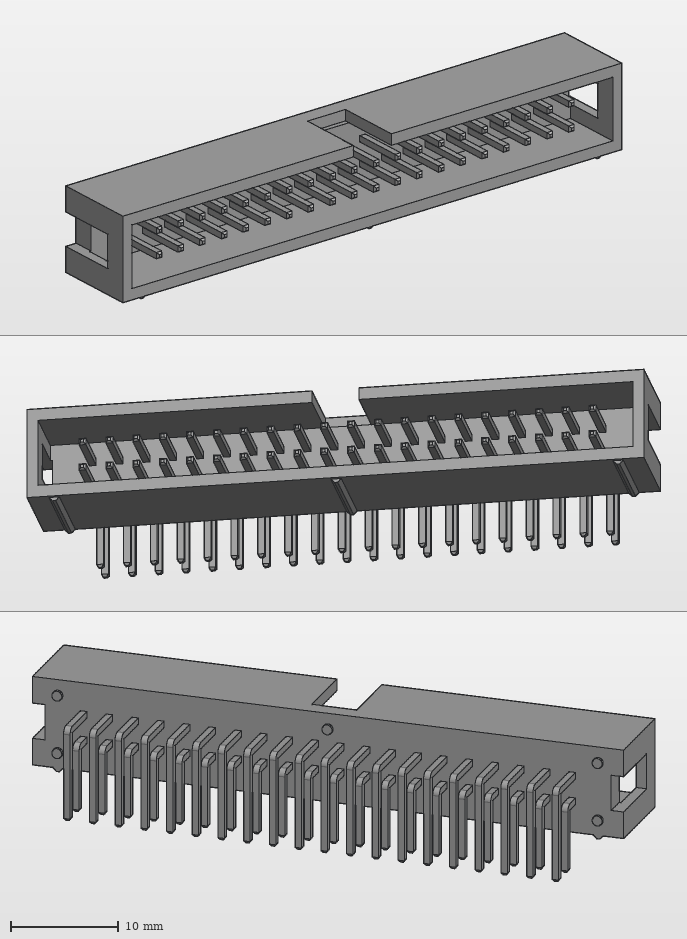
import cadquery as cq

housing_depth = 8.8
housing_length = 58.45
housing_height = 8.8
side_wall = 1.15
end_wall = 1.05
cavity_floor = 2.3
mid_height = housing_height / 2

notch_width = 4.45
notch_start = 1.75

end_slot_height = 3.5
end_slot_reach = 6.5
end_slot_depth = 1.2

pin_count = 20
pitch = 2.545
pin_width = 0.65
pin_mating_end = 7.95
pin_overhang = 4.75
leg_end_z = -3.3
tip_length = 0.25
tip_width = 0.3

standoff_offset = 26.7
nub_diameter = 1.0
nub_height = 0.3
nub_offset = 2.85
rib_base_width = 1.0
rib_crest_width = 0.3
rib_height = 0.35
rib_length = 8.5


def block(x_start, x_end, y_mid, width, z_start, z_end):
    """Box given by its X and Z limits and its centred Y width."""
    size = (x_end - x_start, width, z_end - z_start)
    return cq.Workplane("XY").box(*size, centered=(False, True, False)).translate((x_start, y_mid, z_start))


def make_housing():
    body = block(0, housing_depth, 0, housing_length, 0, housing_height)
    cavity_length = housing_length - 2 * end_wall
    body = body.cut(
        block(cavity_floor, housing_depth, 0, cavity_length, side_wall, housing_height - side_wall)
    )
    body = body.cut(
        block(notch_start, housing_depth, 0, notch_width, housing_height - side_wall, housing_height)
    )
    slot_bottom = mid_height - end_slot_height / 2
    slot_top = mid_height + end_slot_height / 2
    for side in (-1, 1):
        slot_y = side * (housing_length - end_slot_depth) / 2
        body = body.cut(block(0, end_slot_reach, slot_y, end_slot_depth, slot_bottom, slot_top))
    return body


def make_tip(base_plane):
    """Truncated pyramid that points a pin end along the plane normal."""
    return (
        base_plane.rect(pin_width, pin_width)
        .workplane(offset=tip_length)
        .rect(tip_width, tip_width)
        .loft()
    )


def make_pin(leg_x, row_z):
    """Right-angle pin at y = 0, with its bend rounded on the outside."""
    half = pin_width / 2
    shank_end = pin_mating_end - tip_length
    leg_bottom = leg_end_z + tip_length
    shank = block(leg_x - half, shank_end, 0, pin_width, row_z - half, row_z + half)
    leg = block(leg_x - half, leg_x + half, 0, pin_width, leg_bottom, row_z + half)
    outer_corner = cq.selectors.NearestToPointSelector((leg_x - half, 0, row_z + half))
    pin = shank.union(leg).edges(outer_corner).fillet(pin_width)
    mating_base = cq.Workplane("YZ", origin=(shank_end, 0, row_z))
    leg_base = cq.Workplane("XY", origin=(leg_x, 0, leg_bottom)).transformed(rotate=(180, 0, 0))
    return pin.union(make_tip(mating_base)).union(make_tip(leg_base))


def make_nub(y, z):
    """Round nub on the solder face."""
    return cq.Workplane("YZ", origin=(0, y, z)).circle(nub_diameter / 2).extrude(-nub_height)


def make_rib(y):
    """Tapered rib along X below the underside."""
    base = rib_base_width / 2
    crest = rib_crest_width / 2
    corners = [(-base, 0), (-crest, -rib_height), (crest, -rib_height), (base, 0)]
    return cq.Workplane("YZ", origin=(0, y, 0)).polyline(corners).close().extrude(rib_length)


result = make_housing()

for y in (-standoff_offset, 0, standoff_offset):
    result = result.union(make_rib(y))
    for side in (-1, 1):
        result = result.union(make_nub(y, mid_height + side * nub_offset))

outer_leg_x = -pin_overhang + pin_width / 2
upper_pin = make_pin(outer_leg_x, mid_height + pitch / 2)
lower_pin = make_pin(outer_leg_x + pitch, mid_height - pitch / 2)
for index in range(pin_count):
    pin_y = (index - (pin_count - 1) / 2) * pitch
    for pin in (upper_pin, lower_pin):
        result = result.union(pin.translate((0, pin_y, 0)))